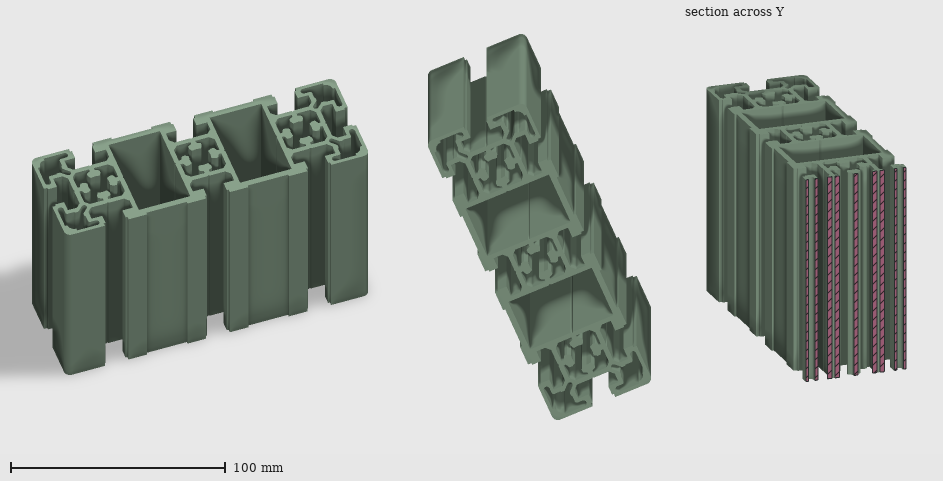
import cadquery as cq
import math


length = 150.0
module_count = 3
pitch = length / module_count
width = pitch
height = 2 * pitch
half_module = pitch / 2
corner_radius = 3.0

slot_mouth_half = 5.8
slot_throat_half = 5.0
mouth_step_depth = 1.6
lip_thickness = 6.2
slot_cavity_half = 10.2
slot_chamfer = 2.1
core_half = 12.3
groove_half_width = 0.6
groove_depth = 0.5
overcut = 1.5

core_wall = 2.2
core_cavity_half = core_half - core_wall
core_chamfer = 2.1
rib_stem_half = 1.2
rib_head_half = 3.2
rib_shoulder_half = 2.5
rib_tip_half = 2.2
rib_neck_distance = 8.8
rib_shoulder_distance = 8.2
rib_back_distance = 7.8
rib_front_distance = 6.5
rib_tip_distance = 4.8
rib_notch_distance = 5.1

box_half_width = 21.2
box_length = pitch - 2 * core_half
recess_depth = 1.0
recess_length = 20.0

hollow_outer = half_module - 1.6
hollow_arm_width = 2.8
hollow_arm_end = 7.5
hollow_wall_face = 12.3
hollow_edge_fillet = 0.9
bulge_face = 12.8
bulge_start = 16.6
bulge_full = 16.0
channel_radius = 1.28
channel_end_center = 11.1
corner_bore_center = 18.9
corner_bore_radius = 3.3

module_centers = [(i - (module_count - 1) / 2) * pitch for i in range(module_count)]
box_centers = [(a + b) / 2 for a, b in zip(module_centers, module_centers[1:])]


def block(size_x, size_y):
    return cq.Workplane("XY").box(size_x, size_y, height)


def prism(outline):
    """Extrude a closed XY outline over the full height, centred on Z = 0."""
    return outline.close().extrude(height / 2, both=True)


def turned(shape, angle):
    return shape.rotate((0, 0, 0), (0, 0, 1), angle)


def t_slot():
    """Cutter for a T-slot opening toward +X, with the module centre at the origin."""
    step_x = half_module - mouth_step_depth
    lip_x = half_module - lip_thickness
    upper = [
        (half_module + overcut, slot_mouth_half),
        (step_x, slot_mouth_half),
        (step_x, slot_throat_half),
        (lip_x, slot_throat_half),
        (lip_x, slot_cavity_half),
        (core_half + slot_chamfer, slot_cavity_half),
        (core_half, slot_cavity_half - slot_chamfer),
        (core_half, groove_half_width),
    ]
    groove_bottom = (core_half - groove_depth, 0)
    lower = [(x, -y) for x, y in reversed(upper)]
    return prism(cq.Workplane("XY").polyline(upper + [groove_bottom] + lower))


def screw_rib():
    """Mushroom-shaped rib on the +X core wall; its tip has a shallow V-notch."""
    upper = [
        (core_half - core_wall / 2, rib_stem_half),
        (rib_neck_distance, rib_stem_half),
        (rib_shoulder_distance, rib_shoulder_half),
        (rib_back_distance, rib_head_half),
        (rib_front_distance, rib_head_half),
        (rib_tip_distance, rib_tip_half),
    ]
    lower = [(x, -y) for x, y in reversed(upper)]
    notch = (rib_notch_distance, 0)
    return prism(cq.Workplane("XY").polyline(upper + [notch] + lower))


def core_cavity():
    """Cutter for the chamfered square core, leaving the four screw ribs standing."""
    cavity = block(2 * core_cavity_half, 2 * core_cavity_half).edges("|Z").chamfer(core_chamfer)
    rib = screw_rib()
    for angle in (0, 90, 180, 270):
        cavity = cavity.cut(turned(rib, angle))
    return cavity


def corner_hollow():
    """Cutter for the hollow in the +X +Y corner, with the module centre at the origin."""
    arm_radius = hollow_arm_width / 2
    arm_inner = hollow_outer - hollow_arm_width
    arm_middle = hollow_outer - arm_radius
    arm_round_start = hollow_arm_end + arm_radius
    diagonal = math.sqrt(0.5)
    channel_offset = channel_radius * diagonal
    channel_side = (channel_end_center - channel_offset, channel_end_center + channel_offset)
    channel_tip = channel_end_center - channel_offset
    bore_middle = corner_bore_center + corner_bore_radius * diagonal
    bore_end = corner_bore_center + corner_bore_radius
    fillet_center_x = hollow_wall_face - hollow_edge_fillet
    fillet_center_y = arm_inner - hollow_edge_fillet
    fillet_middle = (
        fillet_center_x + hollow_edge_fillet * diagonal,
        fillet_center_y + hollow_edge_fillet * diagonal,
    )

    def mirrored(point):
        return point[1], point[0]

    bulge_end = (bulge_face, bulge_face + 2 * channel_offset)
    bulge_top = (bulge_face, bulge_full)
    bulge_foot = (hollow_wall_face, bulge_start)
    fillet_low = (hollow_wall_face, fillet_center_y)
    fillet_high = (fillet_center_x, arm_inner)
    arm_low = (arm_round_start, arm_inner)
    arm_tip = (hollow_arm_end, arm_middle)
    arm_high = (arm_round_start, hollow_outer)
    bore_notch = (corner_bore_center, hollow_outer)
    bore_start = (corner_bore_center, bore_end)

    outline = (
        cq.Workplane("XY").moveTo(*channel_side)
        .lineTo(*bulge_end).lineTo(*bulge_top).lineTo(*bulge_foot).lineTo(*fillet_low)
        .threePointArc(fillet_middle, fillet_high)
        .lineTo(*arm_low)
        .threePointArc(arm_tip, arm_high)
        .lineTo(*bore_notch).lineTo(*bore_start)
        .threePointArc((bore_middle, bore_middle), mirrored(bore_start))
        .lineTo(*mirrored(bore_notch)).lineTo(*mirrored(arm_high))
        .threePointArc(mirrored(arm_tip), mirrored(arm_low))
        .lineTo(*mirrored(fillet_high))
        .threePointArc(mirrored(fillet_middle), mirrored(fillet_low))
        .lineTo(*mirrored(bulge_foot)).lineTo(*mirrored(bulge_top))
        .lineTo(*mirrored(bulge_end)).lineTo(*mirrored(channel_side))
        .threePointArc((channel_tip, channel_tip), channel_side)
    )
    return prism(outline)


def box_chamber():
    """Cutter for a box chamber with a small V-groove in each core-side wall."""
    half_length = box_length / 2
    upper = [
        (box_half_width, half_length),
        (groove_half_width, half_length),
        (0, half_length + groove_depth),
        (-groove_half_width, half_length),
        (-box_half_width, half_length),
    ]
    lower = [(-x, -y) for x, y in upper]
    return prism(cq.Workplane("XY").polyline(upper + lower))


profile = block(width, length).edges("|Z").fillet(corner_radius)

slot = t_slot()
core = core_cavity()
for center_y in module_centers:
    for cutter in (slot, turned(slot, 180), core):
        profile = profile.cut(cutter.translate((0, center_y, 0)))

hollow = corner_hollow()
for center_y, turn in ((module_centers[-1], 0), (module_centers[0], 180)):
    for cutter in (turned(slot, 90 + turn), turned(hollow, turn), turned(hollow, 90 + turn)):
        profile = profile.cut(cutter.translate((0, center_y, 0)))

chamber = box_chamber()
recess = block(2 * recess_depth, recess_length)
for center_y in box_centers:
    profile = profile.cut(chamber.translate((0, center_y, 0)))
    for side in (-1, 1):
        profile = profile.cut(recess.translate((side * width / 2, center_y, 0)))

result = profile